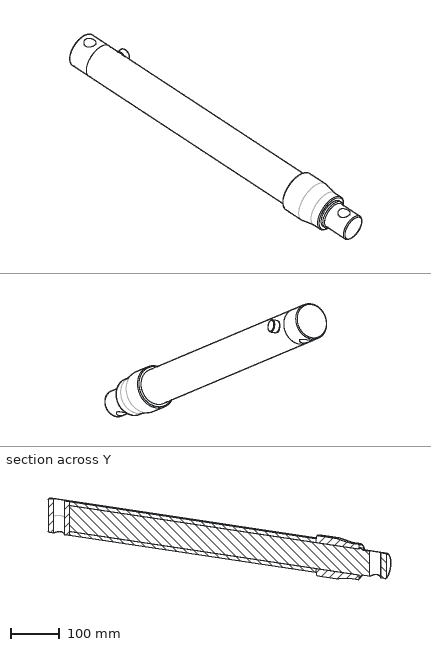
import cadquery as cq

total_length = 760.0
plug_length = 49.0
head_start = 602.0
taper_start = 648.0
taper_end = 678.0
head_end = 698.5

tube_radius = 37.6
head_radius = 45.0
nose_radius = 39.5
rod_radius = 28.0
collar_radius = 31.0
collar_length = 4.5
collar_slope = 2.0
plug_chamfer = 2.0
head_chamfer = 2.0
rod_chamfer = 2.0

pin_hole_diameter = 25.0
plug_hole_x = plug_length / 2
rod_hole_x = total_length - 26.0

port_x = 75.0
port_diameter = 26.0
port_top = 52.5
port_bottom = 38.0
port_chamfer = 1.5


def cylinder_x(start, end, radius):
    """Round bar along X between two stations."""
    return cq.Workplane("YZ", origin=(start, 0, 0)).circle(radius).extrude(end - start)


def revolve_x(plane, points):
    """Turn a closed (x, radius) outline about the X axis."""
    return cq.Workplane(plane).polyline(points).close().revolve(360, (0, 0), (1, 0))


def pin_hole(x):
    """Cutter for a vertical through hole at station x."""
    return (
        cq.Workplane("XY", origin=(x, 0, 0))
        .circle(pin_hole_diameter / 2)
        .extrude(head_radius, both=True)
    )


def make_plug():
    """Solid end plug with a chamfered outer rim and a cross hole."""
    plug = cylinder_x(0, plug_length, tube_radius).faces("<X").chamfer(plug_chamfer)
    return plug.cut(pin_hole(plug_hole_x))


def make_tube():
    """Barrel between plug and head, bored to guide the rod."""
    outline = [
        (plug_length, rod_radius),
        (plug_length, tube_radius),
        (head_start, tube_radius),
        (head_start, rod_radius),
    ]
    return revolve_x("XZ", outline)


def make_head():
    """Gland head: wide band, taper, narrow nose, with the rod bore through it."""
    outline = [
        (head_start, rod_radius),
        (head_start, head_radius - head_chamfer),
        (head_start + head_chamfer, head_radius),
        (taper_start, head_radius),
        (taper_end, nose_radius),
        (head_end - head_chamfer, nose_radius),
        (head_end, nose_radius - head_chamfer),
        (head_end, rod_radius),
    ]
    return revolve_x("XZ", outline)


def make_rod():
    """Rod with a sloped collar against the head and a cross hole at its free end."""
    collar_end = head_end + collar_length
    outline = [
        (plug_length, 0),
        (plug_length, rod_radius),
        (head_end, rod_radius),
        (head_end, collar_radius),
        (collar_end, collar_radius),
        (collar_end + collar_slope, rod_radius),
        (total_length - rod_chamfer, rod_radius),
        (total_length, rod_radius - rod_chamfer),
        (total_length, 0),
    ]
    rod = revolve_x("XY", [(x, -radius) for x, radius in outline])
    return rod.cut(pin_hole(rod_hole_x))


def make_port():
    """Round boss, chamfered at both ends, on a foot seated on the curved tube."""
    foot_radius = port_diameter / 2 - port_chamfer
    boss = (
        cq.Workplane("XZ", origin=(port_x, port_top, 0))
        .circle(port_diameter / 2)
        .extrude(port_top - port_bottom)
        .faces(">Y or <Y")
        .chamfer(port_chamfer)
    )
    foot = (
        cq.Workplane("XZ", origin=(port_x, port_bottom, 0))
        .circle(foot_radius)
        .extrude(port_bottom - rod_radius)
    )
    return boss.union(foot).cut(cylinder_x(plug_length, head_start, tube_radius))


plug = make_plug()
tube = make_tube()
head = make_head()
rod = make_rod()
port = make_port()

result = cq.Compound.makeCompound(
    [plug.val(), tube.val(), head.val(), rod.val(), port.val()]
)